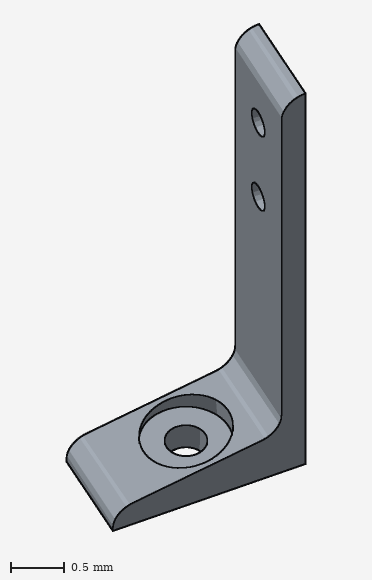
import cadquery as cq
import math

width = 1.0
depth = 2.0
height = 5.0

wall_thickness = 0.25
toe_height = 0.25
foot_slope = 10.0
round_radius = 0.25

wall_hole_diameter = 0.28
wall_hole_heights = (3.25, 4.25)

foot_hole_diameter = 0.4
counterbore_diameter = 0.88
counterbore_floor = 0.3

slope_angle = math.radians(foot_slope)
wall_front = depth - wall_thickness


def foot_top(y):
    """Height of the sloping foot face at distance y from the toe."""
    return toe_height + y * math.tan(slope_angle)


def arc_point(center, angle):
    """Point on a rounding arc, with the angle measured from +Y towards +Z."""
    return (
        center[0] + round_radius * math.cos(angle),
        center[1] + round_radius * math.sin(angle),
    )


def make_bracket():
    """Side profile in the YZ plane, extruded symmetrically across the width."""
    center_rise = round_radius / math.cos(slope_angle)
    toe_center = (round_radius, foot_top(round_radius) - center_rise)
    corner_y = wall_front - round_radius
    corner_center = (corner_y, foot_top(corner_y) + center_rise)
    top_center = (depth, height - round_radius)

    slope_up = math.pi / 2 + slope_angle
    slope_down = slope_up - math.pi

    return (
        cq.Workplane("YZ")
        .moveTo(0, 0)
        .lineTo(*arc_point(toe_center, math.pi))
        .threePointArc(
            arc_point(toe_center, (math.pi + slope_up) / 2),
            arc_point(toe_center, slope_up),
        )
        .lineTo(*arc_point(corner_center, slope_down))
        .threePointArc(
            arc_point(corner_center, slope_down / 2),
            arc_point(corner_center, 0),
        )
        .lineTo(*arc_point(top_center, math.pi))
        .threePointArc(
            arc_point(top_center, 3 * math.pi / 4),
            arc_point(top_center, math.pi / 2),
        )
        .lineTo(depth, 0)
        .close()
        .extrude(width / 2, both=True)
    )


def make_wall_holes():
    """Cylinders running through the wall along Y."""
    return (
        cq.Workplane("XZ", origin=(0, depth, 0))
        .pushPoints([(0, z) for z in wall_hole_heights])
        .circle(wall_hole_diameter / 2)
        .extrude(depth)
    )


def make_foot_hole():
    """Vertical hole with a flat counterbore, midway along the foot."""
    base = cq.Workplane("XY", origin=(0, depth / 2, 0))
    hole = base.circle(foot_hole_diameter / 2).extrude(height)
    counterbore = (
        base.workplane(offset=counterbore_floor)
        .circle(counterbore_diameter / 2)
        .extrude(height)
    )
    return hole.union(counterbore)


result = make_bracket().cut(make_wall_holes()).cut(make_foot_hole())